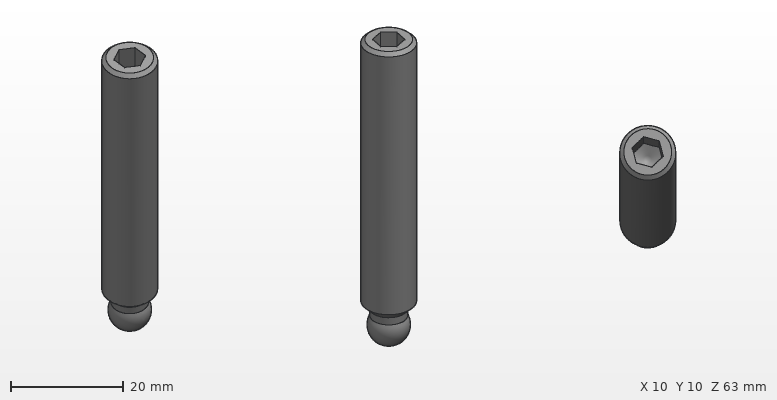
import cadquery as cq
import math

total_length = 63.0
shank_diameter = 10.0
shank_radius = shank_diameter / 2

top_chamfer_width = 0.75
top_chamfer_height = 0.7
shank_bottom = 8.9
shoulder_height = 1.6

neck_radius = 3.4
ball_radius = 3.9

socket_across_flats = 5.0
socket_depth = 5.05
cone_angle = 120.0


def make_body():
    """Revolve the ball, neck, tapered shoulder and chamfered shank."""
    ball_neck_height = ball_radius + math.sqrt(ball_radius**2 - neck_radius**2)
    profile = (
        cq.Workplane("XZ")
        .moveTo(0, 0)
        .threePointArc((ball_radius, ball_radius), (neck_radius, ball_neck_height))
        .lineTo(neck_radius, shank_bottom - shoulder_height)
        .lineTo(shank_radius, shank_bottom)
        .lineTo(shank_radius, total_length - top_chamfer_height)
        .lineTo(shank_radius - top_chamfer_width, total_length)
        .lineTo(0, total_length)
        .close()
    )
    return profile.revolve(360, (0, 0, 0), (0, 1, 0))


def make_socket():
    """Hexagonal prism, corners on the X axis, pointed by a cone that reaches its corners."""
    corner_radius = socket_across_flats / math.sqrt(3)
    cone_depth = corner_radius / math.tan(math.radians(cone_angle / 2))
    cone_base_height = total_length - socket_depth
    tip_height = cone_base_height - cone_depth
    hexagon = (
        cq.Workplane("XY")
        .workplane(offset=tip_height)
        .polygon(6, 2 * corner_radius)
        .extrude(total_length - tip_height)
    )
    pointed_envelope = (
        cq.Workplane("XZ")
        .moveTo(0, tip_height)
        .lineTo(corner_radius, cone_base_height)
        .lineTo(corner_radius, total_length)
        .lineTo(0, total_length)
        .close()
        .revolve(360, (0, 0, 0), (0, 1, 0))
    )
    return hexagon.intersect(pointed_envelope)


result = make_body().cut(make_socket())